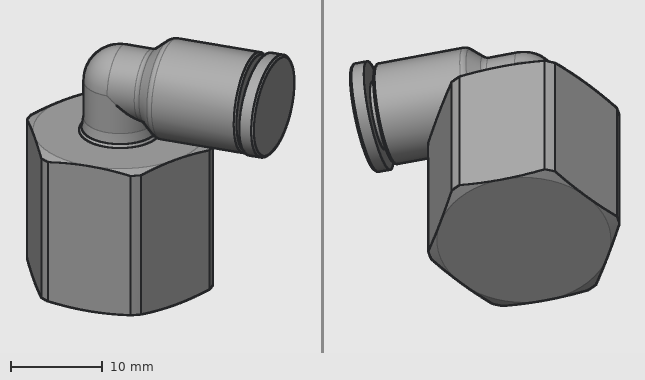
import cadquery as cq
import math

hex_flats = 19.0
hex_corner_radius = 10.65
hex_height = 17.7
hex_bevel_height = 0.35

elbow_radius = 4.0
body_radius = 5.6
overall_height = 29.3
arm_z = overall_height - body_radius

flare_height = 1.52
flare_radius = 4.22
foot_height = 0.35
foot_radius = 4.48

arm_end = 3.15
cone_angle = math.radians(40)
cone_blend = 1.0
body_end = 15.6
body_edge = 0.23
neck_radius = 3.78
neck_end = 16.35

collar_width = 13.0
collar_height = 11.02
collar_end = 17.95
collar_edge = 0.23


def hex_base():
    """Hexagonal prism with rounded corners and conical bevels at both ends."""
    hex_across_corners = hex_flats / math.cos(math.pi / 6)
    prism = cq.Workplane("XY").polygon(6, hex_across_corners).extrude(hex_height)
    envelope = (
        cq.Workplane("XZ")
        .lineTo(hex_flats / 2, 0)
        .lineTo(hex_corner_radius, hex_bevel_height)
        .lineTo(hex_corner_radius, hex_height - hex_bevel_height)
        .lineTo(hex_flats / 2, hex_height)
        .lineTo(0, hex_height)
        .close()
        .revolve(360, (0, 0, 0), (0, 1, 0))
    )
    return prism.intersect(envelope)


def stem():
    """Upright stem with a flared foot, rooted in the hexagonal base."""
    return (
        cq.Workplane("XZ", origin=(0, 0, hex_height))
        .lineTo(foot_radius, 0)
        .lineTo(flare_radius, foot_height)
        .lineTo(elbow_radius, flare_height)
        .lineTo(elbow_radius, arm_z - hex_height)
        .lineTo(0, arm_z - hex_height)
        .close()
        .revolve(360, (0, 0, 0), (0, 1, 0))
    )


def dome():
    """Ball that closes the corner of the elbow."""
    return cq.Workplane("XY", origin=(0, 0, arm_z)).sphere(elbow_radius)


def blend_offset(angle):
    """Axial and radial travel along a cone blend that has turned by the angle."""
    return cone_blend * math.sin(angle), cone_blend * (1 - math.cos(angle))


def arm():
    """Horizontal arm: pipe, blended cone, tube body and narrow neck."""
    half_x, half_r = blend_offset(cone_angle / 2)
    full_x, full_r = blend_offset(cone_angle)
    cone_rise = body_radius - elbow_radius - 2 * full_r
    cone_start = arm_end + full_x
    cone_end = cone_start + cone_rise / math.tan(cone_angle)
    body_start = cone_end + full_x
    return (
        cq.Workplane("XZ", origin=(0, 0, arm_z))
        .lineTo(0, elbow_radius)
        .lineTo(arm_end, elbow_radius)
        .threePointArc(
            (arm_end + half_x, elbow_radius + half_r),
            (cone_start, elbow_radius + full_r),
        )
        .lineTo(cone_end, body_radius - full_r)
        .threePointArc(
            (body_start - half_x, body_radius - half_r),
            (body_start, body_radius),
        )
        .lineTo(body_end - body_edge, body_radius)
        .lineTo(body_end, body_radius - body_edge)
        .lineTo(body_end, neck_radius)
        .lineTo(neck_end, neck_radius)
        .lineTo(neck_end, 0)
        .close()
        .revolve(360, (0, 0, 0), (1, 0, 0))
    )


def collar():
    """Oval release collar, wider along Y, with a bevelled outer edge."""
    return (
        cq.Workplane("YZ", origin=(neck_end, 0, arm_z))
        .ellipse(collar_width / 2, collar_height / 2)
        .extrude(collar_end - neck_end)
        .faces(">X")
        .chamfer(collar_edge)
    )


result = hex_base().union(stem()).union(dome()).union(arm()).union(collar())